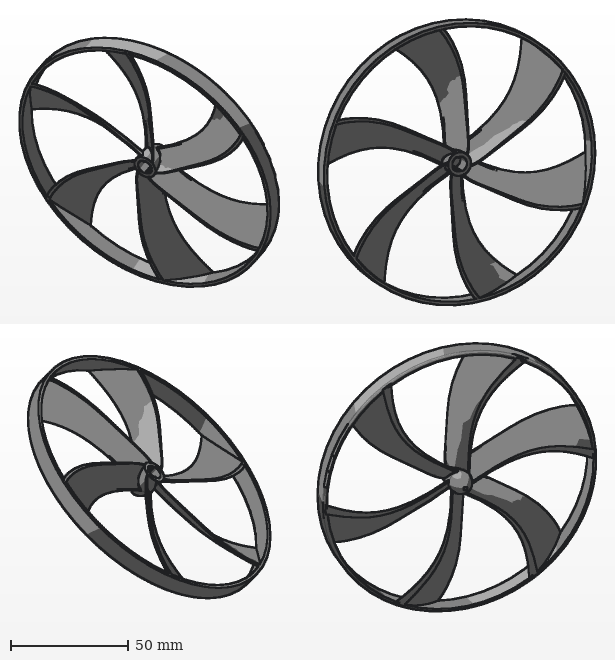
import cadquery as cq
import math

RIM_RADIUS = 61.6
RIM_WALL = 1.6
RIM_DEPTH = 8.1
RIM_ROUND = 1.1

HUB_RADIUS = 5.2
BORE_RADIUS = 3.3
BORE_DEPTH = RIM_DEPTH
NOSE_TIP = 14.8
NOSE_TIP_RADIUS = 0.9
NOSE_MID_RADIUS = 4.0
NOSE_MID = 12.0

RIDGE_WIDTH = 1.8
RIDGE_HEIGHT = 0.6
RIDGE_ANGLES = (8, 188)
RIDGE_EMBED = 0.4

BLADE_COUNT = 6
CAMBER = 1.1
BLADE_SECTIONS = [
    (3.7, -3.7, 4.2, 0.6),
    (15.5, -4.0, 4.8, 0.6),
    (27.7, -3.2, 7.5, 1.0),
    (37.6, -2.2, 12.5, 1.2),
    (45.6, -0.2, 19.6, 1.5),
    (53.0, 2.8, 29.6, 1.8),
    (60.9, 8.4, 40.7, 2.2),
]


def axial_cylinder(radius, depth):
    """Cylinder from Y = 0 to Y = depth."""
    return cq.Workplane("XZ").circle(radius).extrude(-depth)


def make_rim():
    disc = axial_cylinder(RIM_RADIUS, RIM_DEPTH).faces(">Y").edges().fillet(RIM_ROUND)
    return disc.cut(axial_cylinder(RIM_RADIUS - RIM_WALL, RIM_DEPTH))


def make_hub():
    profile = (
        cq.Workplane("XY")
        .lineTo(HUB_RADIUS, 0)
        .lineTo(HUB_RADIUS, RIM_DEPTH)
        .threePointArc((NOSE_MID_RADIUS, NOSE_MID), (NOSE_TIP_RADIUS, NOSE_TIP))
        .lineTo(0, NOSE_TIP)
        .close()
    )
    return profile.revolve(360, (0, 0, 0), (0, 1, 0))


def make_ridge(angle):
    """Triangular ridge on the bore wall, turned about Y by the given angle from +Z."""
    base = BORE_RADIUS + RIDGE_EMBED
    profile = (
        cq.Workplane("XZ")
        .moveTo(-RIDGE_WIDTH / 2, base)
        .lineTo(RIDGE_WIDTH / 2, base)
        .lineTo(0, BORE_RADIUS - RIDGE_HEIGHT)
        .close()
    )
    return profile.extrude(-BORE_DEPTH).rotate((0, 0, 0), (0, 1, 0), -angle)


def cambered_arc(start_x, end_x, distance):
    """Arc from the front plane to the back plane, bulging towards +Y."""
    run = end_x - start_x
    chord = math.hypot(run, RIM_DEPTH)
    middle_x = (start_x + end_x) / 2 - CAMBER * RIM_DEPTH / chord
    middle_y = RIM_DEPTH / 2 + CAMBER * run / chord
    return cq.Edge.makeThreePointArc(
        cq.Vector(start_x, 0, -distance),
        cq.Vector(middle_x, middle_y, -distance),
        cq.Vector(end_x, RIM_DEPTH, -distance),
    )


def blade_section(distance, front_x, back_x, width):
    """Curved strip lying in the plane Z = -distance, with its ends on the rim planes."""
    slant = math.hypot(back_x - front_x, RIM_DEPTH) / RIM_DEPTH
    back_width = width * slant
    outer = cambered_arc(front_x, back_x - back_width, distance)
    inner = cambered_arc(front_x + width, back_x, distance)
    front = cq.Edge.makeLine(outer.startPoint(), inner.startPoint())
    back = cq.Edge.makeLine(inner.endPoint(), outer.endPoint())
    return cq.Wire.assembleEdges([outer, back, inner, front])


def make_blade():
    """Swept-back, twisted blade, trimmed to end inside the rim wall."""
    sections = [blade_section(*values) for values in BLADE_SECTIONS]
    loft = cq.Workplane(obj=cq.Solid.makeLoft(sections))
    return loft.intersect(axial_cylinder(RIM_RADIUS - RIM_WALL / 2, RIM_DEPTH))


result = make_rim().union(make_hub())
blade = make_blade()
for index in range(BLADE_COUNT):
    angle = index * 360 / BLADE_COUNT
    result = result.union(blade.rotate((0, 0, 0), (0, 1, 0), angle))
result = result.cut(axial_cylinder(BORE_RADIUS, BORE_DEPTH))
for ridge_angle in RIDGE_ANGLES:
    result = result.union(make_ridge(ridge_angle))